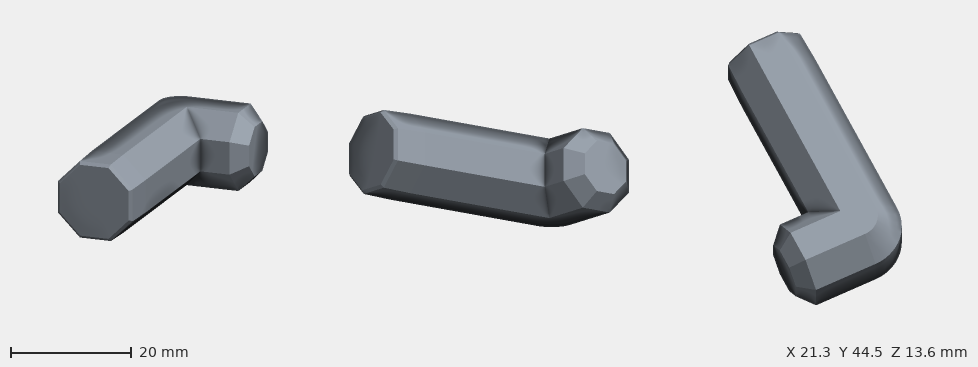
import cadquery as cq
import math

sides = 8
across_flats = 13.58
overall_x = 21.29
overall_y = 44.51
bend_radius = 7.8
arm_chamfer = 2.5
taper_length = 5.5
taper_inset = 0.15
shank_chamfer = 0.5

half_sector = math.pi / sides
half = across_flats / 2
flat_width = across_flats * math.tan(half_sector)
corner_cut = (across_flats - flat_width) / 2
arm_end = overall_x - half
shank_end = half - overall_y
arm_straight_end = arm_end - arm_chamfer
chamfer_start = shank_end + shank_chamfer
taper_start = chamfer_start + taper_length


def frustum(origin, direction, length, start_flats, end_flats):
    """Octagonal frustum growing from origin along direction, with flats facing up and down."""
    plane = cq.Plane(origin=origin, xDir=(0, 0, 1), normal=direction)
    start_diameter = start_flats / math.cos(half_sector)
    end_diameter = end_flats / math.cos(half_sector)
    return (
        cq.Workplane(plane)
        .transformed(rotate=(0, 0, math.degrees(half_sector)))
        .polygon(sides, start_diameter)
        .workplane(offset=length)
        .polygon(sides, end_diameter)
        .loft(ruled=True)
    )


def bent_bar():
    """Straight shank and arm, rounded outside the bend and mitred inside it."""
    bar = (
        cq.Workplane("XY")
        .workplane(offset=-half)
        .moveTo(-half, taper_start)
        .lineTo(half, taper_start)
        .lineTo(half, -half)
        .lineTo(arm_straight_end, -half)
        .lineTo(arm_straight_end, half)
        .lineTo(bend_radius - half, half)
        .radiusArc((-half, half - bend_radius), -bend_radius)
        .close()
        .extrude(across_flats)
    )
    long_edges = bar.faces("|Z").edges("not(>X or <Y)")
    return long_edges.chamfer(corner_cut)


def arm_tip():
    """Chamfered end of the arm."""
    end_flats = across_flats - 2 * arm_chamfer
    return frustum((arm_straight_end, 0, 0), (1, 0, 0), arm_chamfer, across_flats, end_flats)


def shank_tip():
    """Drafted stretch and chamfered end of the shank."""
    direction = (0, -1, 0)
    drafted_flats = across_flats - 2 * taper_inset
    end_flats = drafted_flats - 2 * shank_chamfer
    drafted = frustum((0, taper_start, 0), direction, taper_length, across_flats, drafted_flats)
    chamfered = frustum((0, chamfer_start, 0), direction, shank_chamfer, drafted_flats, end_flats)
    return drafted.union(chamfered)


result = bent_bar().union(arm_tip()).union(shank_tip())